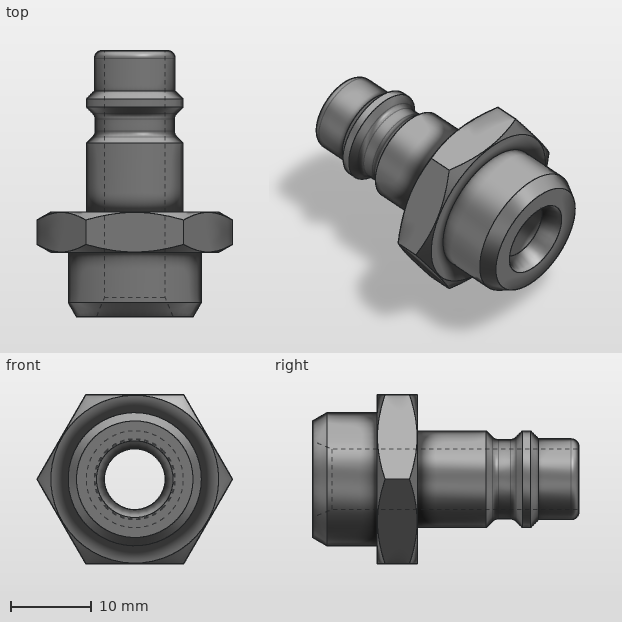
import cadquery as cq
import math

total_length = 33.0
thread_length = 8.0
hex_thickness = 5.0
hex_end = thread_length + hex_thickness

thread_radius = 8.25
thread_chamfer_length = 1.78
thread_chamfer_angle = 30.0
thread_end_radius = thread_radius - thread_chamfer_length * math.tan(math.radians(thread_chamfer_angle))

hex_across_flats = 21.0
hex_across_corners = hex_across_flats / math.cos(math.radians(30))
hex_face_radius = 10.4
hex_chamfer_angle = 30.0

body_radius = 6.0
body_end = 21.5
groove_radius = 4.92
groove_fillet = 1.0
collar_start = total_length - 7.0
collar_end = total_length - 6.0
tip_radius = 5.0
collar_rise = body_radius - tip_radius
tip_fillet = 1.0

bore_radius = 3.75
countersink_radius = 4.75
countersink_depth = 2.4


def revolve_about_y(profile):
    return profile.close().revolve(360, (0, 0, 0), (0, 1, 0))


def make_thread_end():
    profile = (
        cq.Workplane("XY")
        .lineTo(thread_end_radius, 0)
        .lineTo(thread_radius, thread_chamfer_length)
        .lineTo(thread_radius, hex_end)
        .lineTo(0, hex_end)
    )
    return revolve_about_y(profile)


def make_hexagon():
    prism = (
        cq.Workplane("XZ", origin=(0, thread_length, 0))
        .polygon(6, hex_across_corners)
        .extrude(-hex_thickness)
    )
    cone_radius = hex_across_corners / 2 + 0.33
    cone_drop = (cone_radius - hex_face_radius) * math.tan(math.radians(hex_chamfer_angle))
    envelope = (
        cq.Workplane("XY")
        .moveTo(0, thread_length)
        .lineTo(hex_face_radius, thread_length)
        .lineTo(cone_radius, thread_length + cone_drop)
        .lineTo(cone_radius, hex_end - cone_drop)
        .lineTo(hex_face_radius, hex_end)
        .lineTo(0, hex_end)
    )
    return prism.intersect(revolve_about_y(envelope))


def make_plug():
    diagonal = math.sqrt(0.5)
    arc_length = groove_fillet * diagonal
    arc_rise = groove_fillet * (1 - diagonal)
    flank_radius = groove_radius + arc_rise
    flank_length = body_radius - flank_radius
    lower_flank = body_end + flank_length
    upper_flank = collar_start - flank_length
    profile = (
        cq.Workplane("XY")
        .moveTo(0, thread_length)
        .lineTo(body_radius, thread_length)
        .lineTo(body_radius, body_end)
        .lineTo(flank_radius, lower_flank)
        .radiusArc((groove_radius, lower_flank + arc_length), groove_fillet)
        .lineTo(groove_radius, upper_flank - arc_length)
        .radiusArc((flank_radius, upper_flank), groove_fillet)
        .lineTo(body_radius, collar_start)
        .lineTo(body_radius, collar_end)
        .lineTo(tip_radius, collar_end + collar_rise)
        .lineTo(tip_radius, total_length - tip_fillet)
        .radiusArc((tip_radius - tip_fillet, total_length), -tip_fillet)
        .lineTo(0, total_length)
    )
    return revolve_about_y(profile)


def make_bore():
    profile = (
        cq.Workplane("XY")
        .lineTo(countersink_radius, 0)
        .lineTo(bore_radius, countersink_depth)
        .lineTo(bore_radius, total_length)
        .lineTo(0, total_length)
    )
    return revolve_about_y(profile)


result = make_thread_end().union(make_hexagon()).union(make_plug()).cut(make_bore())